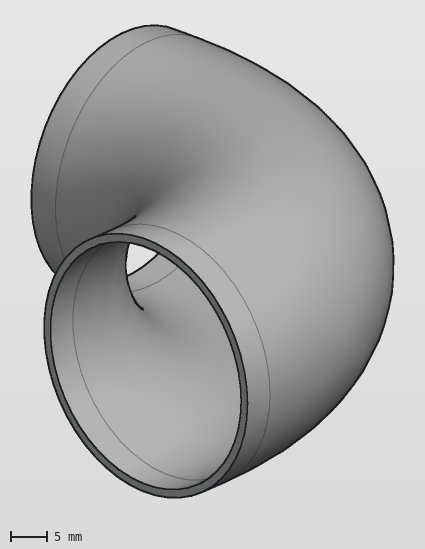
import cadquery as cq

outer_diameter = 38.1
inner_diameter = 35.7
center_to_end = 50.0
straight_length = 4.5
bend_angle = 90.0

bend_radius = center_to_end - straight_length


def tube_section(workplane):
    """Draw the annular pipe section, centred on the workplane origin."""
    return workplane.circle(outer_diameter / 2).circle(inner_diameter / 2)


def make_bend():
    section = tube_section(cq.Workplane("XZ").center(bend_radius, 0))
    return section.revolve(bend_angle, (-bend_radius, 0, 0), (-bend_radius, 1, 0))


def make_front_collar():
    section = tube_section(cq.Workplane("XZ", origin=(bend_radius, 0, 0)))
    return section.extrude(straight_length)


def make_side_collar():
    section = tube_section(cq.Workplane("YZ", origin=(0, bend_radius, 0)))
    return section.extrude(-straight_length)


result = make_bend().union(make_front_collar()).union(make_side_collar())